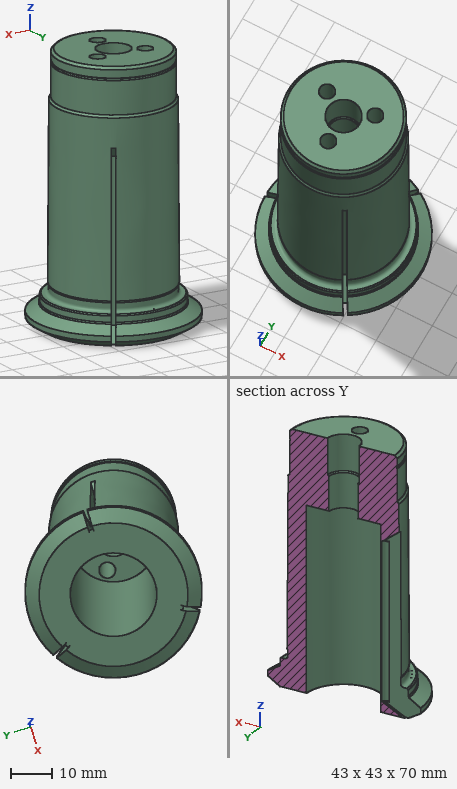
import cadquery as cq
import math

height = 70.0
flange_radius = 21.5

base_radius = 18.05
rim_bottom_z = 2.0
rim_top_z = 3.65
rim_top_chamfer = 0.15

shoulder_radius = 18.0
shoulder_top_z = 7.9
shoulder_chamfer = 0.35
shoulder_foot_height = 0.4
shoulder_foot_flare = 0.2
shoulder_foot_z = 5.5

neck_radius = 15.8
neck_fillet = 0.9

body_bottom_z = 10.7
body_bottom_radius = 16.0
body_chamfer_height = 0.5
body_top_z = 57.2
body_top_radius = 15.75

head_diameter = 30.5
head_bottom_z = 57.8
head_chamfer = 0.7
groove_top_z = 67.2
groove_depth = 0.2
groove_height = 0.6

bore_diameter = 21.0
bore_top_z = 50.4
center_hole_diameter = 8.9
center_hole_floor_z = 60.2
inner_hole_diameter = 8.2
small_hole_diameter = 4.0
small_hole_circle_radius = 7.7
small_hole_angles = (30, 150, 270)

slot_width = 1.1
slot_angles = (60, 180, 300)
slot_floor_radius = 11.05
slot_bottom_radius = 17.2
slot_floor_bottom_z = 3.0
slot_floor_top_z = 46.0
slot_top_z = 49.55
slot_round_diameter = 1.95


def revolved_body():
    """The solid turned shape, without holes and slots."""
    head_radius = head_diameter / 2
    groove_radius = head_radius - groove_depth
    fillet_diagonal = neck_fillet * (1 - math.sqrt(0.5))
    return (
        cq.Workplane("XZ")
        .moveTo(0, 0)
        .lineTo(base_radius, 0)
        .lineTo(flange_radius, rim_bottom_z)
        .lineTo(flange_radius, rim_top_z - rim_top_chamfer)
        .lineTo(flange_radius - rim_top_chamfer, rim_top_z)
        .lineTo(shoulder_radius + shoulder_foot_flare, shoulder_foot_z)
        .lineTo(shoulder_radius, shoulder_foot_z + shoulder_foot_height)
        .lineTo(shoulder_radius, shoulder_top_z - shoulder_chamfer)
        .lineTo(shoulder_radius - shoulder_chamfer, shoulder_top_z)
        .lineTo(neck_radius + neck_fillet, shoulder_top_z)
        .threePointArc(
            (neck_radius + fillet_diagonal, shoulder_top_z + fillet_diagonal),
            (neck_radius, shoulder_top_z + neck_fillet),
        )
        .lineTo(neck_radius, body_bottom_z - body_chamfer_height)
        .lineTo(body_bottom_radius, body_bottom_z)
        .lineTo(body_top_radius, body_top_z)
        .lineTo(head_radius, head_bottom_z)
        .lineTo(head_radius, groove_top_z - groove_height)
        .lineTo(groove_radius, groove_top_z - groove_depth)
        .lineTo(head_radius, groove_top_z)
        .lineTo(head_radius, height - head_chamfer)
        .lineTo(head_radius - head_chamfer, height)
        .lineTo(0, height)
        .close()
        .revolve(360, (0, 0, 0), (0, 1, 0))
    )


def center_bore():
    """The wide bore from below and the narrower stepped hole through the head."""
    bore_radius = bore_diameter / 2
    hole_radius = center_hole_diameter / 2
    inner_radius = inner_hole_diameter / 2
    step_z = center_hole_floor_z - (hole_radius - inner_radius)
    return (
        cq.Workplane("XZ")
        .moveTo(0, 0)
        .lineTo(bore_radius, 0)
        .lineTo(bore_radius, bore_top_z)
        .lineTo(inner_radius, bore_top_z)
        .lineTo(inner_radius, step_z)
        .lineTo(hole_radius, center_hole_floor_z)
        .lineTo(hole_radius, height)
        .lineTo(0, height)
        .close()
        .revolve(360, (0, 0, 0), (0, 1, 0))
    )


def small_hole(angle):
    """One axial hole through the head into the bore."""
    return (
        cq.Workplane("XY", origin=(small_hole_circle_radius, 0, bore_top_z))
        .circle(small_hole_diameter / 2)
        .extrude(height - bore_top_z)
        .rotate((0, 0, 0), (0, 0, 1), angle)
    )


def slot(angle):
    """One radial slot with sloped ends and a rounded floor."""
    round_offset = math.sqrt(slot_round_diameter**2 - slot_width**2) / 2
    blade = (
        cq.Workplane("XZ")
        .moveTo(slot_bottom_radius, 0)
        .lineTo(slot_floor_radius, slot_floor_bottom_z)
        .lineTo(slot_floor_radius, slot_floor_top_z)
        .lineTo(body_top_radius, slot_top_z)
        .lineTo(flange_radius, slot_top_z)
        .lineTo(flange_radius, 0)
        .close()
        .extrude(slot_width / 2, both=True)
    )
    rounding = (
        cq.Workplane("XY", origin=(slot_floor_radius + round_offset, 0, slot_floor_bottom_z))
        .circle(slot_round_diameter / 2)
        .extrude(slot_floor_top_z - slot_floor_bottom_z)
    )
    return blade.union(rounding).rotate((0, 0, 0), (0, 0, 1), angle)


result = revolved_body().cut(center_bore())
for hole_angle in small_hole_angles:
    result = result.cut(small_hole(hole_angle))
for slot_angle in slot_angles:
    result = result.cut(slot(slot_angle))